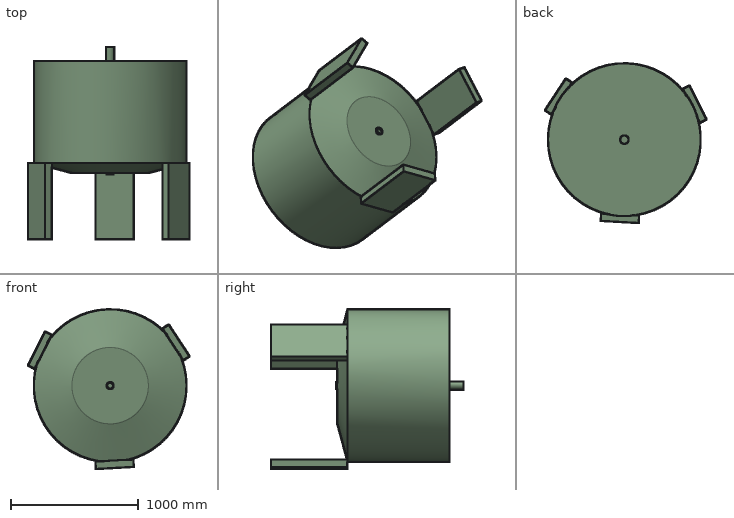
import cadquery as cq
import math

tank_radius = 600
drum_length = 800
cone_tip_radius = tank_radius / 2
cone_slope = 15
cone_depth = (tank_radius - cone_tip_radius) * math.tan(math.radians(cone_slope))

rear_stub_radius = 33
rear_stub_length = 109.77
front_stub_radius = 27.5
front_stub_length = 10
front_bore_radius = 24
front_bore_depth = 60

leg_count = 3
leg_width = 300
leg_thickness = 60
leg_length = 600
leg_inner_distance = 587.5
first_leg_angle = 273.23

full_turn = 360

drum_rear_y = drum_length
cone_tip_y = -cone_depth
front_stub_tip_y = cone_tip_y - front_stub_length


def axial_cylinder(radius, start_y, end_y):
    """Cylinder on the tank axis between two Y positions, start_y being the smaller."""
    plane = cq.Workplane("XZ", origin=(0, end_y, 0))
    return plane.circle(radius).extrude(end_y - start_y)


def make_tank():
    """Drum, cone and both stubs, revolved about the Y axis, with a blind bore in the front stub."""
    profile = [
        (0, front_stub_tip_y),
        (front_stub_radius, front_stub_tip_y),
        (front_stub_radius, cone_tip_y),
        (cone_tip_radius, cone_tip_y),
        (tank_radius, 0),
        (tank_radius, drum_rear_y),
        (rear_stub_radius, drum_rear_y),
        (rear_stub_radius, drum_rear_y + rear_stub_length),
        (0, drum_rear_y + rear_stub_length),
    ]
    solid = cq.Workplane("XY").polyline(profile).close().revolve(full_turn, (0, 0, 0), (0, 1, 0))
    bore = axial_cylinder(front_bore_radius, front_stub_tip_y, front_stub_tip_y + front_bore_depth)
    return solid.cut(bore)


def make_leg(angle, tank):
    """Plate facing the axis, its centre at the given angle from +X towards +Z, fitted to the cone."""
    plate = cq.Workplane("XY").box(leg_thickness, leg_length, leg_width)
    plate = plate.translate((leg_inner_distance + leg_thickness / 2, -leg_length / 2, 0))
    plate = plate.rotate((0, 0, 0), (0, 1, 0), -angle)
    return plate.cut(tank)


tank = make_tank()
leg_angles = [first_leg_angle + i * full_turn / leg_count for i in range(leg_count)]
legs = [make_leg(angle, tank) for angle in leg_angles]

result = cq.Compound.makeCompound([tank.val(), *[leg.val() for leg in legs]])